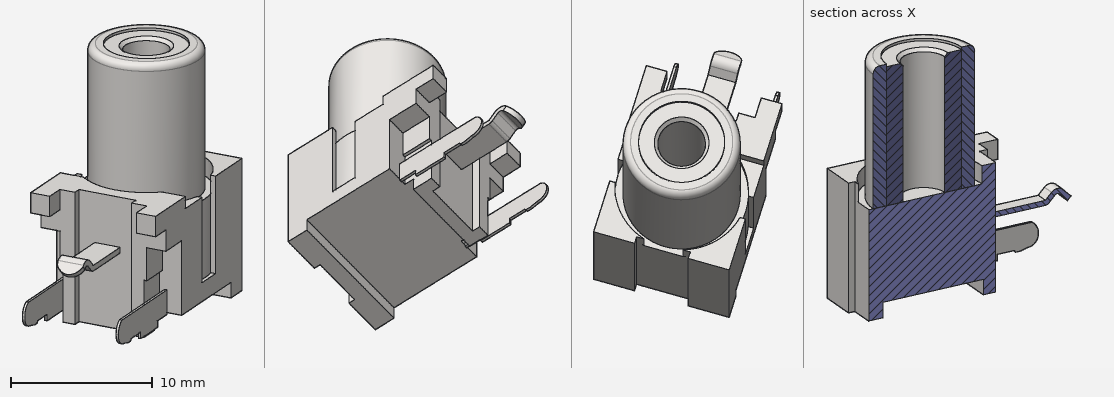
import cadquery as cq
import math


block_width = 10.0
block_height = 10.0
half_width = block_width / 2
back_y = half_width
front_y = -6.48
wing_front_y = -8.02
wing_underside_z = 8.47
wing_inner_x = 3.47
back_notch_width = 3.96
back_notch_depth = 0.5
channel_width = 4.55
channel_floor_y = -5.85
well_radius = 4.72
well_floor_z = 8.6
side_slot_half_width = 1.01
side_slot_bottom_z = 2.63
side_step_front_y = -3.53
side_step_z = 9.1

pocket_wall_y = -4.1
pocket_top_z = 6.85
pocket_step_z = 4.33
pocket_inner_x = wing_inner_x
pocket_lower_inner_x = 3.24
underside_z = 1.19
back_foot_y = 3.32
front_foot_y = -4.85

total_height = 19.51
sleeve_radius = 4.15
sleeve_rim_fillet = 0.55
insulator_radius = 3.05
insulator_recess = 0.2
socket_radius = 1.68
socket_chamfer = 0.25

tab_width = 2.03
tab_thickness = 0.43
tab_top_z = 6.22
tab_bend_y = -9.9
tab_bend_angle = 45.0
tab_crest_radius = 0.68
tab_ramp_run = 0.5
tab_tip_length = 0.92
tab_tip_rise = 0.78

leg_thickness = 0.2
leg_spacing = 7.5
leg_top_z = 2.93
leg_bottom_z = 1.05
leg_nose_y = -11.43
leg_nose_start_y = -10.9
leg_nose_end_y = -10.55
leg_nose_upper_point = (-11.24, 2.63)
leg_nose_lower_point = (-11.2, 1.33)
leg_heel_back_y = -5.5
leg_heel_front_y = -8.08
leg_heel_z = 0.57
leg_barb_start_y = -9.46
leg_barb_y = -9.58
leg_barb_end_y = -9.97
leg_barb_z = 0.9


def box_between(x0, x1, y0, y1, z0, z1):
    """Box given by its limits along each axis."""
    return cq.Workplane("XY").box(x1 - x0, y1 - y0, z1 - z0, centered=False).translate((x0, y0, z0))


def cylinder_between(radius, z0, z1):
    """Cylinder on the jack axis between two heights."""
    return cq.Workplane("XY").workplane(offset=z0).circle(radius).extrude(z1 - z0)


def make_block():
    """Outer block with the two top corner wings, back notch and front channel."""
    block = box_between(-half_width, half_width, front_y, back_y, 0, block_height)
    wings = box_between(-half_width, half_width, wing_front_y, front_y, wing_underside_z, block_height)
    wing_gap = box_between(-wing_inner_x, wing_inner_x, wing_front_y, front_y, 0, block_height)
    back_notch = box_between(-back_notch_width / 2, back_notch_width / 2,
                             back_y - back_notch_depth, back_y, 0, block_height)
    channel = box_between(-channel_width / 2, channel_width / 2, front_y, channel_floor_y, 0, block_height)
    return block.union(wings.cut(wing_gap)).cut(back_notch).cut(channel)


def make_top_cuts():
    """Round well, slots down both sides ending at the well radius, and side steps."""
    well = cylinder_between(well_radius, well_floor_z, block_height)
    side_slots = box_between(-half_width, half_width, -side_slot_half_width, side_slot_half_width,
                             side_slot_bottom_z, block_height)
    slot_core = cylinder_between(well_radius, side_slot_bottom_z, well_floor_z)
    side_steps = box_between(-half_width, half_width, side_step_front_y, 0, side_step_z, block_height)
    return well.union(side_slots.cut(slot_core)).union(side_steps)


def make_corner_pocket(side):
    """Stepped pocket in one lower front corner; side is -1 or +1."""
    def room(inner_x, z0, z1):
        x0, x1 = sorted((side * inner_x, side * half_width))
        return box_between(x0, x1, front_y, pocket_wall_y, z0, z1)
    return room(pocket_inner_x, 0, pocket_top_z).union(room(pocket_lower_inner_x, 0, pocket_step_z))


def make_housing():
    """Block with its top cuts, both corner pockets and the gap between the feet."""
    housing = make_block().cut(make_top_cuts())
    for side in (-1, 1):
        housing = housing.cut(make_corner_pocket(side))
    foot_gap = box_between(-half_width, half_width, front_foot_y, back_foot_y, 0, underside_z)
    return housing.cut(foot_gap)


def make_sleeve():
    """Metal tube standing on the well floor, with a rounded top rim."""
    sleeve = cylinder_between(sleeve_radius, well_floor_z, total_height)
    sleeve = sleeve.faces(">Z").edges().fillet(sleeve_rim_fillet)
    return sleeve.cut(cylinder_between(insulator_radius, well_floor_z, total_height))


def make_insulator():
    """Ring filling the sleeve, with a countersunk socket for the plug pin."""
    insulator_top_z = total_height - insulator_recess
    insulator = cylinder_between(insulator_radius, well_floor_z, insulator_top_z)
    insulator = insulator.cut(cylinder_between(socket_radius, well_floor_z, insulator_top_z))
    return insulator.faces(">Z").edges(cq.selectors.RadiusNthSelector(0)).chamfer(socket_chamfer)


def make_center_tab():
    """Strip bent up at 45 degrees, over a round crest and down to a rounded tip."""
    diagonal = math.sin(math.radians(tab_bend_angle))
    crest_inner_radius = tab_crest_radius - tab_thickness
    crest_y = tab_bend_y - tab_ramp_run - tab_crest_radius * diagonal
    crest_z = tab_top_z + tab_ramp_run - tab_crest_radius * diagonal
    tip_run = tab_tip_length * diagonal

    def crest_point(radius, degrees):
        """Point around the crest centre; 0 degrees is straight up, positive toward the tip."""
        angle = math.radians(degrees)
        return crest_y - radius * math.sin(angle), crest_z + radius * math.cos(angle)

    def bend_point(degrees):
        """Point on the underside of the lower bend; 0 degrees is straight down."""
        angle = math.radians(degrees)
        return tab_bend_y - tab_thickness * math.sin(angle), tab_top_z - tab_thickness * math.cos(angle)

    def tip_point(radius):
        """End of the straight slope that leaves the crest at the given radius."""
        y, z = crest_point(radius, tab_bend_angle)
        return y - tip_run, z - tip_run

    strip = (
        cq.Workplane("YZ")
        .moveTo(channel_floor_y, tab_top_z)
        .lineTo(tab_bend_y, tab_top_z)
        .lineTo(*crest_point(tab_crest_radius, -tab_bend_angle))
        .threePointArc(crest_point(tab_crest_radius, 0), crest_point(tab_crest_radius, tab_bend_angle))
        .lineTo(*tip_point(tab_crest_radius))
        .lineTo(*tip_point(crest_inner_radius))
        .lineTo(*crest_point(crest_inner_radius, tab_bend_angle))
        .threePointArc(crest_point(crest_inner_radius, 0), crest_point(crest_inner_radius, -tab_bend_angle))
        .lineTo(*bend_point(tab_bend_angle))
        .threePointArc(bend_point(tab_bend_angle / 2), bend_point(0))
        .lineTo(channel_floor_y, tab_top_z - tab_thickness)
        .close()
        .extrude(tab_width / 2, both=True)
    )

    tip_y, tip_z = tip_point(tab_crest_radius)
    tip_plane = cq.Plane(origin=(0, tip_y, tip_z), xDir=(1, 0, 0), normal=(0, -1, 1))
    overrun = tab_thickness
    tip_waste = (
        cq.Workplane(tip_plane)
        .moveTo(-tab_width / 2, tab_tip_rise)
        .threePointArc((0, 0), (tab_width / 2, tab_tip_rise))
        .lineTo(tab_width / 2, -overrun)
        .lineTo(-tab_width / 2, -overrun)
        .close()
        .extrude(-tab_thickness)
    )
    return strip.cut(tip_waste)


def make_leg(center_x):
    """Thin upright blade with a heel below, a small barb and a round nose."""
    nose_z = (leg_top_z + leg_bottom_z) / 2
    return (
        cq.Workplane("YZ", origin=(center_x, 0, 0))
        .moveTo(pocket_wall_y, leg_top_z)
        .lineTo(leg_nose_start_y, leg_top_z)
        .threePointArc(leg_nose_upper_point, (leg_nose_y, nose_z))
        .threePointArc(leg_nose_lower_point, (leg_nose_end_y, leg_bottom_z))
        .lineTo(leg_barb_end_y, leg_barb_z)
        .lineTo(leg_barb_y, leg_barb_z)
        .lineTo(leg_barb_start_y, leg_bottom_z)
        .lineTo(leg_heel_front_y, leg_bottom_z)
        .lineTo(leg_heel_front_y, leg_heel_z)
        .lineTo(leg_heel_back_y, leg_heel_z)
        .lineTo(leg_heel_back_y, leg_bottom_z)
        .lineTo(pocket_wall_y, leg_bottom_z)
        .close()
        .extrude(leg_thickness / 2, both=True)
    )


housing = make_housing()
sleeve = make_sleeve()
insulator = make_insulator()
center_tab = make_center_tab()
legs = [make_leg(side * leg_spacing / 2) for side in (-1, 1)]

result = cq.Compound.makeCompound(
    [housing.val(), sleeve.val(), insulator.val(), center_tab.val(), *[leg.val() for leg in legs]]
)